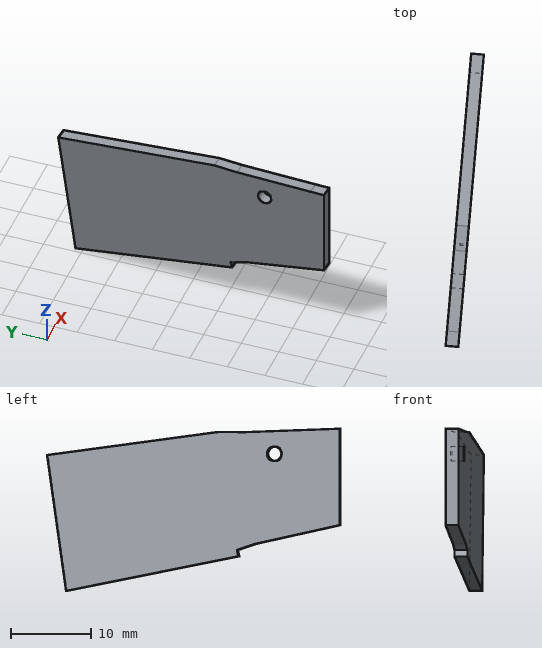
import cadquery as cq

plate_length = 36.68
plate_height = 20.3
plate_thickness = 1.6
yaw_angle = 5.0

front_land = (1.87, 20.2)
slope_end = (12.0, 19.85)
crest = (15.15, 19.88)
rear_top_height = 17.0

front_bottom_height = 8.2
lower_bend = (10.6, 5.87)
step_top = (12.87, 5.1)
step_bottom = (12.7, 4.33)
lowest_corner = (34.3, 0.0)

hole_diameter = 1.8
hole_distance = 8.18
hole_height = 17.13

outline = [
    (0, plate_height),
    front_land,
    slope_end,
    crest,
    (plate_length, rear_top_height),
    lowest_corner,
    step_bottom,
    step_top,
    lower_bend,
    (0, front_bottom_height),
]

plate = cq.Workplane("YZ").polyline(outline).close().extrude(plate_thickness)

hole = (
    cq.Workplane("YZ")
    .center(hole_distance, hole_height)
    .circle(hole_diameter / 2)
    .extrude(plate_thickness)
)

result = plate.cut(hole).rotate((0, 0, 0), (0, 0, 1), -yaw_angle)